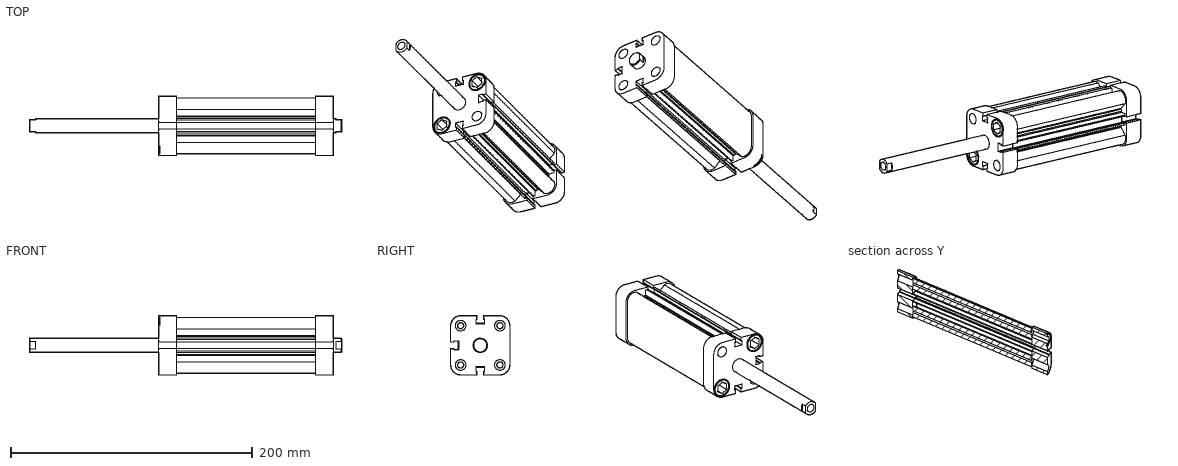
import cadquery as cq
import math

TOTAL_LENGTH = 258.5

ROD_DIAMETER = 12.0
ROD_REAR_OVERHANG = 7.0
ROD_REAR_CHAMFER = 0.5
FLAT_LENGTH = 5.0
FLAT_WIDTH = 10.0
THREAD_HOLE_DIAMETER = 6.7
THREAD_HOLE_DEPTH = 15.0
DRILL_POINT_ANGLE = 118.0

CAP_SIZE = 49.5
CAP_THICKNESS = 15.0
CAP_CORNER_RADIUS = 8.8
BODY_LENGTH = 144.8
CAP_HOLE_DIAMETER = 8.8
HEX_ACROSS_FLATS = 8.8
RECESS_DIAMETER = 15.0
RECESS_DEPTH = 1.0
HEAD_DIAMETER = 14.0
SLOT_MOUTH_WIDTH = 5.5
SLOT_MOUTH_DEPTH = 3.0
SLOT_WIDTH = 7.0
SLOT_DEPTH = 7.0

TUBE_SIZE = 46.3
HOLE_SPACING = 32.5
TIE_HOLE_DIAMETER = 5.0
SLOT_FLOOR_HEIGHT = 18.4
LIP_HEIGHT = 22.5
LIP_OUTER = 5.0
LIP_ROUND = 0.5
SHOULDER_HEIGHT = 17.8
SHOULDER_OUTER = 6.0
GROOVE_INNER = 7.5
GROOVE_OUTER = 8.3
LOBE_EDGE = 13.7

REAR_CAP_END = TOTAL_LENGTH - ROD_REAR_OVERHANG
FRONT_CAP_START = REAR_CAP_END - BODY_LENGTH
TUBE_START = FRONT_CAP_START + CAP_THICKNESS
TUBE_LENGTH = BODY_LENGTH - 2 * CAP_THICKNESS
REAR_CAP_START = TUBE_START + TUBE_LENGTH
HOLE_OFFSET = HOLE_SPACING / 2
LOBE_RADIUS = TUBE_SIZE / 2 - HOLE_OFFSET
HOLE_CENTRES = [(y, z) for y in (-HOLE_OFFSET, HOLE_OFFSET) for z in (-HOLE_OFFSET, HOLE_OFFSET)]
HEX_CENTRES = [(y, z) for y, z in HOLE_CENTRES if y * z < 0]
ROUND_CENTRES = [(y, z) for y, z in HOLE_CENTRES if y * z > 0]
SIDE_ANGLES = (0, 90, 180, 270)
SLOT_ANGLES = (0, 180, 270)


def section_at(x):
    """Work plane across the cylinder axis, with local axes along Y and Z."""
    return cq.Workplane("YZ", origin=(x, 0, 0))


def cut_slots(body, slot):
    for angle in SLOT_ANGLES:
        body = body.cut(slot.rotate((0, 0, 0), (1, 0, 0), -angle))
    return body


def make_cap(start):
    """Rounded square plate with three T-slots and the rod bore."""
    cap = section_at(start).rect(CAP_SIZE, CAP_SIZE).extrude(CAP_THICKNESS)
    cap = cap.edges("|X").fillet(CAP_CORNER_RADIUS)
    half = CAP_SIZE / 2
    mouth = section_at(start).center(0, half - SLOT_MOUTH_DEPTH / 2)
    mouth = mouth.rect(SLOT_MOUTH_WIDTH, SLOT_MOUTH_DEPTH).extrude(CAP_THICKNESS)
    undercut_depth = SLOT_DEPTH - SLOT_MOUTH_DEPTH
    undercut = section_at(start).center(0, half - SLOT_DEPTH + undercut_depth / 2)
    undercut = undercut.rect(SLOT_WIDTH, undercut_depth).extrude(CAP_THICKNESS)
    cap = cut_slots(cap, mouth.union(undercut))
    return cap.cut(section_at(start).circle(ROD_DIAMETER / 2).extrude(CAP_THICKNESS))


def hexagon_corners():
    """Hexagon with its flats facing +Y and -Y."""
    corner_radius = HEX_ACROSS_FLATS / math.sqrt(3)
    angles = [k * math.pi / 3 for k in range(6)]
    return [(corner_radius * math.sin(a), corner_radius * math.cos(a)) for a in angles]


def make_front_cap():
    cap = make_cap(FRONT_CAP_START)
    plane = section_at(FRONT_CAP_START)
    holes = plane.pushPoints(ROUND_CENTRES).circle(CAP_HOLE_DIAMETER / 2).extrude(CAP_THICKNESS)
    rings = plane.pushPoints(HEX_CENTRES).circle(RECESS_DIAMETER / 2).circle(HEAD_DIAMETER / 2)
    cap = cap.cut(holes).cut(rings.extrude(RECESS_DEPTH))
    for y, z in HEX_CENTRES:
        hexagon = plane.center(y, z).polyline(hexagon_corners()).close()
        cap = cap.cut(hexagon.extrude(CAP_THICKNESS))
    return cap


def make_rear_cap():
    cap = make_cap(REAR_CAP_START)
    holes = section_at(REAR_CAP_START).pushPoints(HOLE_CENTRES)
    return cap.cut(holes.circle(CAP_HOLE_DIAMETER / 2).extrude(CAP_THICKNESS))


def half_side_segments():
    """Profile of one slotted side, from the slot floor out to the crest of the corner lobe.

    Each segment is (mid point, end point) in (along, outward) coordinates; a straight one has no mid point.
    """
    lobe_overlap = HOLE_OFFSET - LOBE_EDGE
    lobe_rim = HOLE_OFFSET + math.sqrt(LOBE_RADIUS**2 - lobe_overlap**2)
    lobe_mid_angle = math.asin(lobe_overlap / LOBE_RADIUS) / 2
    lobe_mid = (
        HOLE_OFFSET - LOBE_RADIUS * math.sin(lobe_mid_angle),
        HOLE_OFFSET + LOBE_RADIUS * math.cos(lobe_mid_angle),
    )
    groove_floor = lobe_rim - (LOBE_EDGE - GROOVE_OUTER)
    lip_inner = SLOT_MOUTH_WIDTH / 2
    undercut = SLOT_WIDTH / 2
    lip_underside = CAP_SIZE / 2 - SLOT_MOUTH_DEPTH
    round_top = LIP_HEIGHT - LIP_ROUND
    round_mid_inset = LIP_ROUND * (1 - math.sqrt(0.5))
    round_mid_height = LIP_HEIGHT - round_mid_inset
    return [
        (None, (undercut, SLOT_FLOOR_HEIGHT)),
        (None, (undercut, lip_underside)),
        (None, (lip_inner, lip_underside)),
        (None, (lip_inner, round_top)),
        ((lip_inner + round_mid_inset, round_mid_height), (lip_inner + LIP_ROUND, LIP_HEIGHT)),
        (None, (LIP_OUTER - LIP_ROUND, LIP_HEIGHT)),
        ((LIP_OUTER - round_mid_inset, round_mid_height), (LIP_OUTER, round_top)),
        (None, (LIP_OUTER, SHOULDER_HEIGHT)),
        (None, (SHOULDER_OUTER, SHOULDER_HEIGHT)),
        (None, (GROOVE_INNER, groove_floor)),
        (None, (GROOVE_OUTER, groove_floor)),
        (None, (LOBE_EDGE, lobe_rim)),
        (lobe_mid, (HOLE_OFFSET, TUBE_SIZE / 2)),
    ]


def mirrored_back(segments):
    """The same segments on the other side of the slot, run from the last point to the first."""

    def flip(point):
        return point and (-point[0], point[1])

    ends = [flip(end) for _, end in segments]
    mids = [flip(mid) for mid, _ in segments]
    back = [(None, ends[-1])]
    for i in range(len(segments) - 1, 0, -1):
        back.append((mids[i], ends[i - 1]))
    return back


def turned(point, angle):
    """Point of a side profile turned clockwise from the +Z side by a multiple of 90 degrees."""
    along, outward = point
    cosine = round(math.cos(math.radians(angle)))
    sine = round(math.sin(math.radians(angle)))
    return (along * cosine + outward * sine, outward * cosine - along * sine)


def make_tube():
    half = half_side_segments()
    slotted_side = mirrored_back(half) + half
    plain_side = [(None, (-HOLE_OFFSET, TUBE_SIZE / 2)), (None, (HOLE_OFFSET, TUBE_SIZE / 2))]
    corner_mid = HOLE_OFFSET + LOBE_RADIUS * math.sqrt(0.5)

    outline = section_at(TUBE_START).moveTo(-HOLE_OFFSET, TUBE_SIZE / 2)
    for angle in SIDE_ANGLES:
        side = slotted_side if angle in SLOT_ANGLES else plain_side
        for mid, end in side[1:]:
            if mid:
                outline = outline.threePointArc(turned(mid, angle), turned(end, angle))
            else:
                outline = outline.lineTo(*turned(end, angle))
        corner_end = turned((TUBE_SIZE / 2, HOLE_OFFSET), angle)
        outline = outline.threePointArc(turned((corner_mid, corner_mid), angle), corner_end)
    tube = outline.close().extrude(TUBE_LENGTH)
    tube = tube.cut(section_at(TUBE_START).circle(ROD_DIAMETER / 2).extrude(TUBE_LENGTH))
    holes = section_at(TUBE_START).pushPoints(HOLE_CENTRES)
    return tube.cut(holes.circle(TIE_HOLE_DIAMETER / 2).extrude(TUBE_LENGTH))


def make_rod():
    rod = section_at(0).circle(ROD_DIAMETER / 2).extrude(TOTAL_LENGTH)
    rod = rod.faces(">X").chamfer(ROD_REAR_CHAMFER)
    clear_size = 2 * ROD_DIAMETER
    for start in (0, TOTAL_LENGTH - FLAT_LENGTH):
        outside_flats = section_at(start).rect(clear_size, clear_size).extrude(FLAT_LENGTH)
        between_flats = section_at(start).rect(FLAT_WIDTH, clear_size).extrude(FLAT_LENGTH)
        rod = rod.cut(outside_flats.cut(between_flats))
    radius = THREAD_HOLE_DIAMETER / 2
    tip = THREAD_HOLE_DEPTH + radius / math.tan(math.radians(DRILL_POINT_ANGLE / 2))
    profile = [(0, 0), (0, radius), (THREAD_HOLE_DEPTH, radius), (tip, 0)]
    hole = cq.Workplane("XY").polyline(profile).close().revolve(360, (0, 0, 0), (1, 0, 0))
    return rod.cut(hole)


front_cap = make_front_cap()
rear_cap = make_rear_cap()
tube = make_tube()
rod = make_rod()
result = cq.Compound.makeCompound([front_cap.val(), rear_cap.val(), tube.val(), rod.val()])